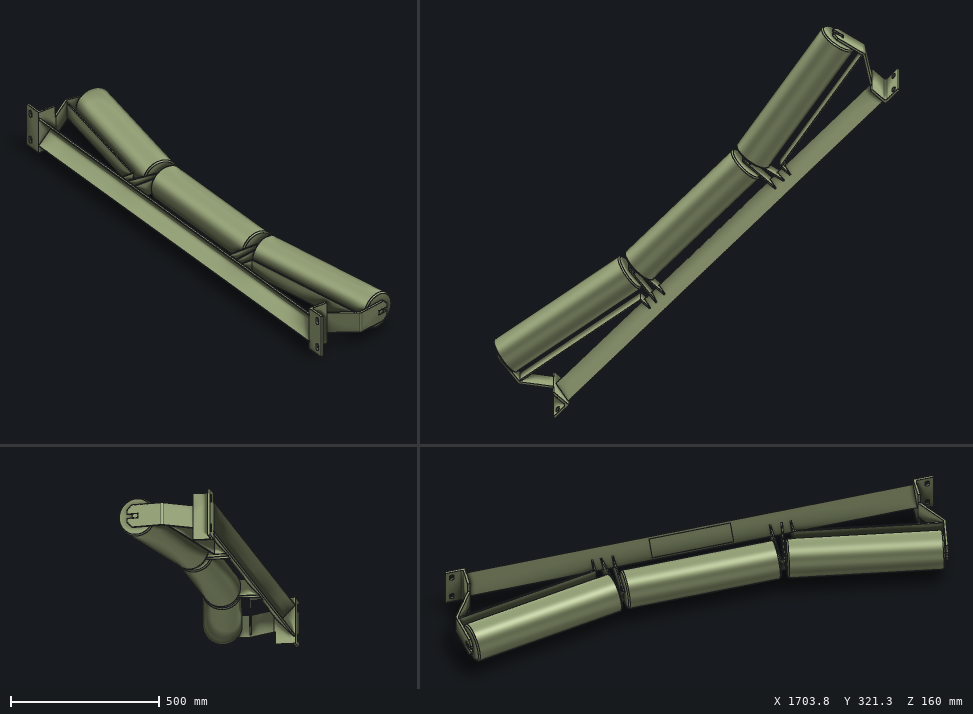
import cadquery as cq
import math


roller_radius = 66.0
roller_length = 532.0
roller_chamfer = 5.0
shaft_radius = 10.0
shaft_flat_width = 15.0
trough_angle = 10.0
middle_axis_y = 161.0
side_center_x = -560.0
side_center_y = 211.0

beam_half_length = 779.0
beam_leg = 80.0
leg_tilt = 45.0
beam_thickness = 7.0
beam_root_radius = 10.0

label_length = 283.0
label_height = 65.0
label_thickness = 1.0

plate_thickness = 9.0
foot_width = 160.0
foot_tip_x = -849.0
foot_height = 70.0
foot_root_radius = 7.0
arm_width = 77.0
arm_bend_drop = 97.0
arm_bend_radius = 12.0
arm_tip_rise = 29.0
arm_tip_chamfer = 17.0
bolt_slot_width = 15.0
bolt_slot_length = 25.0
bolt_slot_x = -826.0
bolt_slot_z = 51.0

strip_thickness = 5.0
strip_width = 56.0
brace_drop = 92.0
brace_leg_x = -342.0
support_top_y = 189.0
support_bend_radius = 9.0

end_gap = 5.0

cos_trough = math.cos(math.radians(trough_angle))
sin_trough = math.sin(math.radians(trough_angle))
seat_distance = roller_length / 2 + end_gap
beam_apex_y = (beam_leg + beam_thickness) * math.cos(math.radians(leg_tilt))


def side_point(along, above):
    """Point given by its distances along (inward) and above the axis of the left side roller."""
    return (
        side_center_x + along * cos_trough + above * sin_trough,
        side_center_y - along * sin_trough + above * cos_trough,
    )


def side_point_at_y(along, y):
    """Point at height y on the line square to the left side axis, `along` from its centre."""
    above = (y - side_center_y + along * sin_trough) / cos_trough
    return side_point(along, above)


def place_on_side(body):
    """Move a body built along X about the origin onto the axis of the left side roller."""
    return body.rotate((0, 0, 0), (0, 0, 1), -trough_angle).translate((side_center_x, side_center_y, 0))


def offset_point(point, before, after, distance):
    """Corner of a path shifted to its left side, mitred between the neighbouring points."""
    angle_in = math.atan2(point[1] - before[1], point[0] - before[0])
    angle_out = math.atan2(after[1] - point[1], after[0] - point[0])
    half_turn = math.remainder(angle_out - angle_in, 2 * math.pi) / 2
    normal = angle_in + half_turn + math.pi / 2
    reach = distance / math.cos(half_turn)
    return (point[0] + reach * math.cos(normal), point[1] + reach * math.sin(normal))


def beyond_end(end, neighbour):
    """Point that continues a path straight past its end."""
    return (2 * end[0] - neighbour[0], 2 * end[1] - neighbour[1])


def bent_strip(path, thickness, width, bend_radii):
    """Strip along a path, thickened to its left, each bend rounded to its outside radius."""
    extended = [beyond_end(path[0], path[1])] + path + [beyond_end(path[-1], path[-2])]
    other_side = [
        offset_point(point, before, after, thickness)
        for before, point, after in zip(extended, path, extended[2:])
    ]
    strip = cq.Workplane("XY").polyline(path + other_side[::-1]).close().extrude(width / 2, both=True)
    for i, radius in bend_radii.items():
        run_in = cq.Vector(*path[i]) - cq.Vector(*path[i - 1])
        run_out = cq.Vector(*path[i + 1]) - cq.Vector(*path[i])
        turns_left = run_in.cross(run_out).z > 0
        outside, inside = (path[i], other_side[i]) if turns_left else (other_side[i], path[i])
        strip = strip.edges(cq.selectors.NearestToPointSelector((*outside, 0))).fillet(radius)
        if radius > thickness:
            strip = strip.edges(cq.selectors.NearestToPointSelector((*inside, 0))).fillet(radius - thickness)
    return strip


def mirrored(body):
    """Copy of a left body on the right."""
    return body.mirror("YZ")


def make_roller(inner_overhang, outer_overhang):
    """Roller along X with a flattened shaft reaching past its two ends."""
    shell = cq.Workplane("YZ").workplane(offset=-roller_length / 2)
    shell = shell.circle(roller_radius).extrude(roller_length)
    shell = shell.faces("<X or >X").chamfer(roller_chamfer)
    shaft_length = roller_length + outer_overhang + inner_overhang
    shaft_end = cq.Workplane("YZ").workplane(offset=-roller_length / 2 - outer_overhang)
    shaft = shaft_end.circle(shaft_radius).extrude(shaft_length)
    flats = shaft_end.rect(2 * shaft_radius, shaft_flat_width).extrude(shaft_length)
    return shell.union(shaft.intersect(flats))


def shaft_slot(along_start, along_end):
    """Open slot that drops the shaft onto its axis, from above, between two places along X."""
    depth_above = 2 * roller_radius
    return (
        cq.Workplane("XY")
        .box(along_end - along_start, depth_above + shaft_radius, shaft_flat_width)
        .translate(((along_start + along_end) / 2, (depth_above - shaft_radius) / 2, 0))
    )


def make_beam():
    """Angle iron with its apex up and its two legs at 45 degrees."""
    section = (
        cq.Workplane("YZ")
        .polyline([(0, 0), (beam_leg, 0), (beam_leg, beam_thickness), (beam_thickness, beam_thickness),
                   (beam_thickness, beam_leg), (0, beam_leg)])
        .close()
        .extrude(beam_half_length, both=True)
    )
    root = cq.selectors.NearestToPointSelector((0, beam_thickness, beam_thickness))
    section = section.edges(root).fillet(beam_root_radius)
    return section.rotate((0, 0, 0), (1, 0, 0), 90 + leg_tilt).translate((0, beam_apex_y, 0))


def make_label():
    """Thin plate centred on the upper leg of the beam."""
    label = cq.Workplane("XY").box(label_length, label_thickness, label_height)
    label = label.translate((0, label_thickness / 2, beam_leg / 2))
    return label.rotate((0, 0, 0), (1, 0, 0), leg_tilt).translate((0, beam_apex_y, 0))


def above_beam(body):
    """Notch a body to sit astride the beam, removing all that lies below its two upper faces."""
    ridge = (
        cq.Workplane("YZ")
        .polyline([(beam_apex_y, 0), (-beam_apex_y, 2 * beam_apex_y), (-beam_apex_y, -2 * beam_apex_y)])
        .close()
        .extrude(beam_half_length, both=True)
    )
    return body.cut(ridge)


def make_brace():
    """Strip below the side roller, from the arm to a leg that stands on the beam."""
    start = side_point(-seat_distance, -brace_drop)
    slope = math.tan(math.radians(trough_angle))
    corner = (brace_leg_x, start[1] - (brace_leg_x - start[0]) * slope)
    path = [(brace_leg_x, 0), corner, start]
    return above_beam(bent_strip(path, strip_thickness, strip_width, {}))


def make_end_bracket():
    """Slotted foot, upright plate, leaning arm and roller seat in one bent plate, with its brace."""
    plate_x = -beam_half_length - plate_thickness
    outer_face = -seat_distance - plate_thickness
    path = [
        side_point(outer_face, arm_tip_rise),
        side_point(outer_face, -arm_bend_drop),
        (plate_x, foot_height),
        (plate_x, plate_thickness),
        (foot_tip_x, plate_thickness),
    ]
    bracket = bent_strip(path, plate_thickness, foot_width, {1: arm_bend_radius})
    foot_root = cq.selectors.NearestToPointSelector((plate_x, plate_thickness, 0))
    bracket = bracket.edges(foot_root).fillet(foot_root_radius)

    tip_x, tip_y = path[0]
    margin_length = 2 * foot_width
    margin_height = 2 * (tip_y - foot_height)
    margin_width = (foot_width - arm_width) / 2
    margin = cq.Workplane("XY").box(margin_length, margin_height, margin_width)
    for side in (1, -1):
        margin_z = side * (foot_width - margin_width) / 2
        bracket = bracket.cut(margin.translate((plate_x, tip_y, margin_z)))

    for side in (1, -1):
        corner_point = (tip_x + plate_thickness / 2, tip_y, side * arm_width / 2)
        corner = cq.selectors.NearestToPointSelector(corner_point)
        bracket = bracket.edges(corner).chamfer(arm_tip_chamfer)

    bolt_slots = (
        cq.Workplane("XZ")
        .pushPoints([(bolt_slot_x, bolt_slot_z), (bolt_slot_x, -bolt_slot_z)])
        .slot2D(bolt_slot_length, bolt_slot_width, 90)
        .extrude(-plate_thickness)
    )
    bracket = bracket.cut(bolt_slots)
    bracket = bracket.cut(place_on_side(shaft_slot(outer_face, -seat_distance)))
    return bracket.union(make_brace())


def make_inner_support():
    """Arched strip whose legs hold the middle roller and a side roller."""
    path = [
        (-seat_distance, 0),
        (-seat_distance, support_top_y),
        side_point_at_y(seat_distance, support_top_y),
        side_point_at_y(seat_distance, 0),
    ]
    bends = {1: support_bend_radius, 2: support_bend_radius}
    support = above_beam(bent_strip(path, strip_thickness, strip_width, bends))
    middle_slot = shaft_slot(-seat_distance - strip_thickness, -seat_distance)
    support = support.cut(middle_slot.translate((0, middle_axis_y, 0)))
    side_slot = shaft_slot(seat_distance, seat_distance + strip_thickness)
    return support.cut(place_on_side(side_slot))


beam = make_beam()
label = make_label()

inner_overhang = end_gap + strip_thickness
outer_overhang = end_gap + plate_thickness
middle_roller = make_roller(inner_overhang, inner_overhang).translate((0, middle_axis_y, 0))
left_roller = place_on_side(make_roller(inner_overhang, outer_overhang))
left_bracket = make_end_bracket()
left_support = make_inner_support()

bodies = [beam, label, middle_roller]
for left_body in (left_roller, left_bracket, left_support):
    bodies.append(left_body)
    bodies.append(mirrored(left_body))

result = cq.Compound.makeCompound([body.solids().val() for body in bodies])